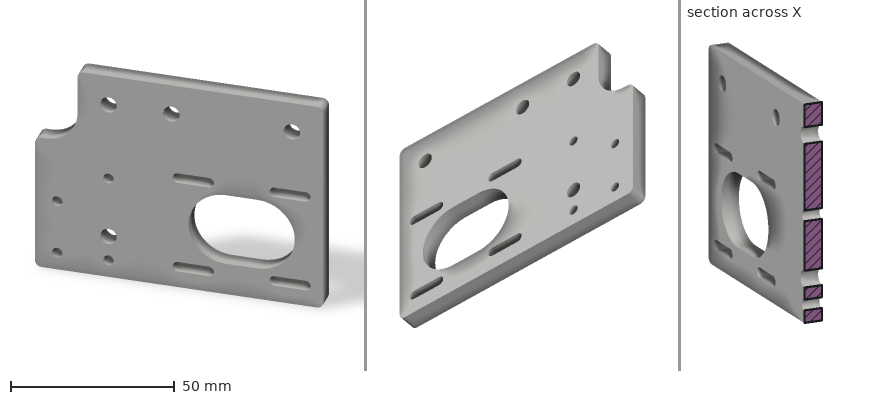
import cadquery as cq

length = 92.0
height = 70.0
thickness = 6.0
corner_radius = 2.0

notch_width = 13.5
notch_floor = 45.1
notch_radius = 10.1

large_diameter = 5.2
small_diameter = 3.3
edge_column = 7.1
left_column = 23.5
middle_column = 43.5
right_column = 82.0
bottom_row = 5.8
low_row = 14.1
edge_row = 23.7
mid_row = 34.3
top_row = 60.0
large_holes = [
    (left_column, top_row),
    (middle_column, top_row),
    (right_column, top_row),
    (left_column, low_row),
]
small_holes = [
    (edge_column, bottom_row),
    (edge_column, edge_row),
    (left_column, bottom_row),
    (left_column, mid_row),
]

window_x = 66.0
window_z = 22.5
window_length = 33.9
window_height = 23.9
slot_length = 13.2
slot_height = 3.3
slot_spacing = 30.9


def front_plane():
    """Sketch plane on the front face: local x is X, local y is Z, normal is -Y."""
    return cq.Workplane("XZ")


def make_plate():
    plate = (
        front_plane()
        .moveTo(0, 0)
        .lineTo(length, 0)
        .lineTo(length, height)
        .lineTo(notch_width, height)
        .lineTo(notch_width, notch_floor + notch_radius)
        .radiusArc((notch_width - notch_radius, notch_floor), notch_radius)
        .lineTo(0, notch_floor)
        .close()
        .extrude(-thickness)
    )
    corners = [
        (0, 0),
        (length, 0),
        (length, height),
        (notch_width, height),
        (0, notch_floor),
    ]
    for x, z in corners:
        corner_edge = cq.selectors.NearestToPointSelector((x, thickness / 2, z))
        plate = plate.edges("|Y").edges(corner_edge).fillet(corner_radius)
    return plate


def round_cutters(centers, diameter):
    return front_plane().pushPoints(centers).circle(diameter / 2).extrude(-thickness)


def slot_cutters(centers, overall_length, width):
    return front_plane().pushPoints(centers).slot2D(overall_length, width).extrude(-thickness)


half_spacing = slot_spacing / 2
slot_centers = [
    (window_x + side * half_spacing, window_z + level * half_spacing)
    for side in (-1, 1)
    for level in (-1, 1)
]

result = (
    make_plate()
    .cut(round_cutters(large_holes, large_diameter))
    .cut(round_cutters(small_holes, small_diameter))
    .cut(slot_cutters([(window_x, window_z)], window_length, window_height))
    .cut(slot_cutters(slot_centers, slot_length, slot_height))
)